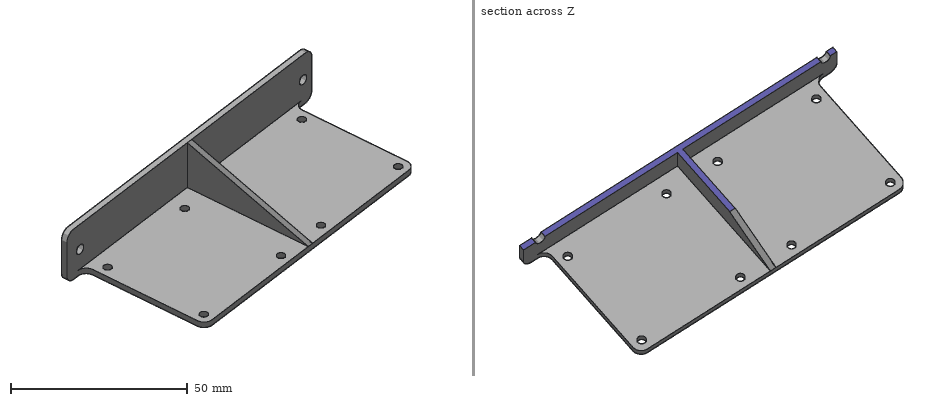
import cadquery as cq

depth = 46.0
wall_length = 111.0
height = 18.0
thickness = 2.0
corner_radius = 3.0

plate_length = 95.0

plate_hole_diameter = 2.7
plate_hole_spacing = 35.0
plate_hole_first_x = 7.5
pattern_center_y = 26.5

wall_hole_diameter = 3.2
wall_hole_spacing = 101.0
wall_hole_offset_y = 1.0


def make_wall():
    """Upright rounded plate with a mounting hole near each end."""
    wall = cq.Workplane("XY").box(thickness, wall_length, height, centered=(False, True, False))
    wall = wall.edges("|X").fillet(corner_radius)
    drills = (
        cq.Workplane("YZ")
        .pushPoints([(wall_hole_offset_y + side * wall_hole_spacing / 2, height / 2) for side in (-1, 1)])
        .circle(wall_hole_diameter / 2)
        .extrude(thickness)
    )
    return wall.cut(drills)


def make_base_plate():
    """Horizontal plate with rounded free corners."""
    plate = cq.Workplane("XY").box(depth, plate_length, thickness, centered=(False, True, False))
    return plate.edges("|Z and >X").fillet(corner_radius)


def make_root_fillet(side):
    """Concave fillet between one end of the base plate and the wall."""
    end_y = side * plate_length / 2
    outer_y = end_y + side * corner_radius
    corner = (
        cq.Workplane("XY")
        .moveTo(thickness, end_y)
        .lineTo(thickness + corner_radius, end_y)
        .lineTo(thickness + corner_radius, outer_y)
        .lineTo(thickness, outer_y)
        .close()
        .extrude(thickness)
    )
    relief = (
        cq.Workplane("XY")
        .center(thickness + corner_radius, outer_y)
        .circle(corner_radius)
        .extrude(thickness)
    )
    return corner.cut(relief)


def make_rib():
    """Central triangular rib from the wall top to the plate's free edge."""
    return (
        cq.Workplane("XZ")
        .polyline([(thickness, thickness), (depth, thickness), (thickness, height)])
        .close()
        .extrude(thickness / 2, both=True)
    )


def make_plate_drills():
    """Cylinders for the two square patterns of plate holes."""
    pattern_center_x = plate_hole_first_x + plate_hole_spacing / 2
    drills = cq.Workplane("XY")
    for side in (-1, 1):
        pattern = (
            cq.Workplane("XY")
            .center(pattern_center_x, side * pattern_center_y)
            .rarray(plate_hole_spacing, plate_hole_spacing, 2, 2)
            .circle(plate_hole_diameter / 2)
            .extrude(thickness)
        )
        drills = drills.add(pattern)
    return drills.combine()


result = make_wall().union(make_base_plate()).union(make_rib())
for end in (-1, 1):
    result = result.union(make_root_fillet(end))

result = result.cut(make_plate_drills())